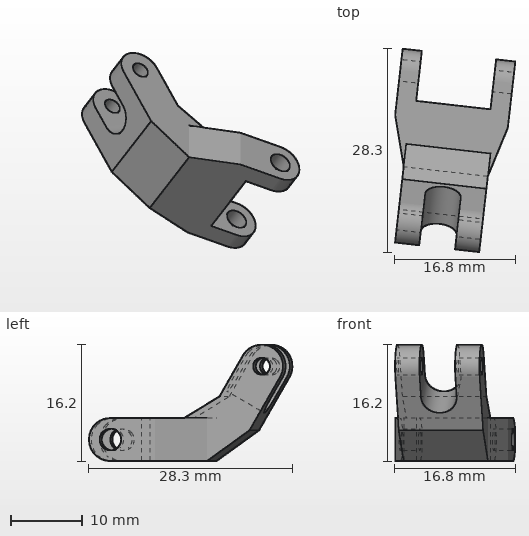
import cadquery as cq
import math

TILT = -6.5

PIN_RADIUS = 3.0
THICKNESS = 2 * PIN_RADIUS
REAR_WIDTH = 15.8
REAR_ARM_WIDTH = 2.72
REAR_GAP_WIDTH = REAR_WIDTH - 2 * REAR_ARM_WIDTH
REAR_GAP_FLOOR_Y = -4.0
REAR_HOLE_DIAMETER = 3.0
TAPER_START_Y = -6.3
BASE_FRONT_Y = -13.3

FORK_WIDTH = 11.82
FORK_ANGLE = 60
FORK_PIN_Y = -20.95
FORK_PIN_Z = 16.2 - PIN_RADIUS
FORK_HOLE_DIAMETER = 2.35
UPPER_START_Y = -10.12
UPPER_KINK_Z = 9.0
LOWER_KINK_Z = 4.28
SLOT_WIDTH = 5.0
SLOT_DEPTH = 5.75

ALONG_Y = -math.cos(math.radians(FORK_ANGLE))
ALONG_Z = math.sin(math.radians(FORK_ANGLE))


def side_plate(outline, width):
    """Extrude a YZ outline symmetrically about the YZ plane."""
    return outline.extrude(width / 2, both=True)


def pin_hole(y, z, diameter):
    """Cylinder along X, long enough to pass through the whole part."""
    return side_plate(cq.Workplane("YZ").center(y, z).circle(diameter / 2), 2 * REAR_WIDTH)


def make_base():
    half_rear = REAR_WIDTH / 2
    half_fork = FORK_WIDTH / 2
    plan = (
        cq.Workplane("XY")
        .moveTo(-half_rear, PIN_RADIUS)
        .lineTo(half_rear, PIN_RADIUS)
        .lineTo(half_rear, TAPER_START_Y)
        .lineTo(half_fork, BASE_FRONT_Y)
        .lineTo(-half_fork, BASE_FRONT_Y)
        .lineTo(-half_rear, TAPER_START_Y)
        .close()
        .extrude(THICKNESS)
    )
    rounded_profile = side_plate(
        cq.Workplane("YZ")
        .moveTo(0, 0)
        .threePointArc((PIN_RADIUS, PIN_RADIUS), (0, THICKNESS))
        .lineTo(BASE_FRONT_Y, THICKNESS)
        .lineTo(BASE_FRONT_Y, 0)
        .close(),
        REAR_WIDTH,
    )
    gap_length = PIN_RADIUS - REAR_GAP_FLOOR_Y
    gap = cq.Workplane("XY").box(
        REAR_GAP_WIDTH, gap_length, THICKNESS, centered=(True, False, False)
    ).translate((0, REAR_GAP_FLOOR_Y, 0))
    return plan.intersect(rounded_profile).cut(gap)


def make_fork():
    upper_tangent = (FORK_PIN_Y + PIN_RADIUS * ALONG_Z, FORK_PIN_Z - PIN_RADIUS * ALONG_Y)
    lower_tangent = (FORK_PIN_Y - PIN_RADIUS * ALONG_Z, FORK_PIN_Z + PIN_RADIUS * ALONG_Y)
    tip = (FORK_PIN_Y + PIN_RADIUS * ALONG_Y, FORK_PIN_Z + PIN_RADIUS * ALONG_Z)

    def kink(tangent, z):
        """Point at height z on the straight edge through a tangent point."""
        return (tangent[0] + (z - tangent[1]) * ALONG_Y / ALONG_Z, z)

    profile = (
        cq.Workplane("YZ")
        .moveTo(UPPER_START_Y, 0)
        .lineTo(UPPER_START_Y, THICKNESS)
        .lineTo(*kink(upper_tangent, UPPER_KINK_Z))
        .lineTo(*upper_tangent)
        .threePointArc(tip, lower_tangent)
        .lineTo(*kink(lower_tangent, LOWER_KINK_Z))
        .lineTo(BASE_FRONT_Y, 0)
        .close()
    )
    return side_plate(profile, FORK_WIDTH)


def make_fork_slot():
    """Round-bottomed slot cut square through the fork, open at its tip."""
    plane = cq.Plane(
        origin=(0, FORK_PIN_Y, FORK_PIN_Z), xDir=(1, 0, 0), normal=(0, -ALONG_Z, ALONG_Y)
    )
    radius = SLOT_WIDTH / 2
    open_end = 2 * PIN_RADIUS
    return (
        cq.Workplane(plane)
        .moveTo(-radius, open_end)
        .lineTo(-radius, radius - SLOT_DEPTH)
        .threePointArc((0, -SLOT_DEPTH), (radius, radius - SLOT_DEPTH))
        .lineTo(radius, open_end)
        .close()
        .extrude(THICKNESS, both=True)
    )


link = make_base().union(make_fork()).cut(make_fork_slot())
link = link.cut(pin_hole(0, PIN_RADIUS, REAR_HOLE_DIAMETER))
link = link.cut(pin_hole(FORK_PIN_Y, FORK_PIN_Z, FORK_HOLE_DIAMETER))
result = link.rotate((0, 0, 0), (0, 0, 1), TILT)